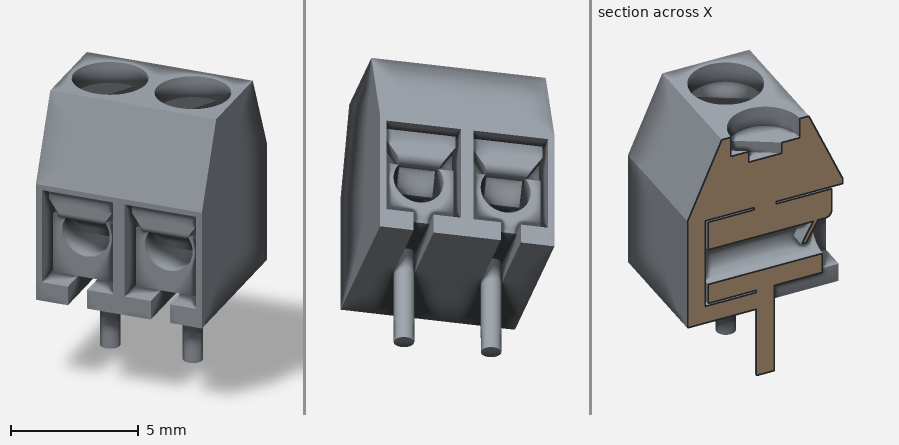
import cadquery as cq
import math


pole_count = 2
pole_pitch = 3.5
body_width = 7.0
body_depth = 6.8
wall_height = 5.0
body_height = 8.4
top_depth = 3.81
front_y = -body_depth / 2

well_diameter = 3.0
well_depth = 0.9
slot_width = 0.7
slot_depth = 0.5
slot_angle = 60

pocket_width = 3.0
pocket_height = 3.98
pocket_floor = 0.8
pocket_centre_z = pocket_floor + pocket_height / 2
pocket_top = pocket_floor + pocket_height

side_gap = 0.1
end_gap = 0.08
cage_setback = 0.9
cage_width = pocket_width - 2 * side_gap
cage_height = pocket_height - 2 * end_gap
cage_depth = body_depth - 2 * cage_setback
pocket_depth = cage_setback + cage_depth + side_gap
cage_bottom = pocket_floor + end_gap
cage_top = cage_bottom + cage_height
wire_diameter = 2.0
wire_hole_top = 3.39

plate_setback = 0.5
taper_top = 4.22
plate_bottom_width = 1.63
plate_round = 0.3
relief_step = 0.2
tongue_width = 1.43
tongue_bottom = 2.48
tongue_slope = 29
tongue_thickness = 0.23

shank_diameter = 1.0
pin_diameter = 0.8
pin_length = 3.1


def make_housing():
    half_depth = body_depth / 2
    half_top = top_depth / 2
    profile = [
        (-half_depth, 0),
        (half_depth, 0),
        (half_depth, wall_height),
        (half_top, body_height),
        (-half_top, body_height),
        (-half_depth, wall_height),
    ]
    return cq.Workplane("YZ").polyline(profile).close().extrude(body_width / 2, both=True)


def box_behind_front(width, depth, height, setback, bottom):
    """Box centred on X whose front lies a given setback behind the housing front."""
    box = cq.Workplane("XY").box(width, depth, height, centered=(True, False, False))
    return box.translate((0, front_y + setback, bottom))


def make_screw_recess():
    """Round well over the screw head, with the driver slot in its floor."""
    head_z = body_height - well_depth
    well = cq.Workplane("XY").workplane(offset=head_z).circle(well_diameter / 2).extrude(well_depth)
    slot_bottom = head_z - slot_depth
    slot = (
        cq.Workplane("XY")
        .box(well_diameter, slot_width, slot_depth, centered=(True, True, False))
        .rotate((0, 0, 0), (0, 0, 1), slot_angle)
        .translate((0, 0, slot_bottom))
    )
    head = cq.Workplane("XY").workplane(offset=slot_bottom).circle(well_diameter / 2).extrude(slot_depth)
    return well.union(slot.intersect(head))


def make_pocket():
    """Wire pocket and the notch through its lip that leads back to the pin."""
    pocket = box_behind_front(pocket_width, pocket_depth, pocket_height, 0, pocket_floor)
    notch = box_behind_front(pin_diameter, body_depth / 2, pocket_floor, 0, 0)
    return pocket.union(notch)


def make_plate():
    """Plate in front of the cage, tapered below its full-width top, with a rounded lower front edge."""
    thickness = cage_setback + relief_step - plate_setback
    outline = [
        (-cage_width / 2, cage_top),
        (cage_width / 2, cage_top),
        (cage_width / 2, taper_top),
        (plate_bottom_width / 2, wire_hole_top),
        (-plate_bottom_width / 2, wire_hole_top),
        (-cage_width / 2, taper_top),
    ]
    plate_y = front_y + plate_setback
    tapered = cq.Workplane("XZ", origin=(0, plate_y, 0)).polyline(outline).close().extrude(-thickness)
    rounded = (
        box_behind_front(cage_width, thickness, cage_top - wire_hole_top, plate_setback, wire_hole_top)
        .faces("<Y")
        .edges("<Z")
        .fillet(plate_round)
    )
    return tapered.intersect(rounded)


def make_tongue():
    """Sloping tongue hanging from the roof of the wire hole."""
    start_y = front_y + cage_setback + relief_step
    run = (wire_hole_top - tongue_bottom) * math.tan(math.radians(tongue_slope))
    profile = [
        (start_y, wire_hole_top),
        (start_y + run, tongue_bottom),
        (start_y + run + tongue_thickness, tongue_bottom),
        (start_y + tongue_thickness, wire_hole_top),
    ]
    return cq.Workplane("YZ").polyline(profile).close().extrude(tongue_width / 2, both=True)


def make_cage():
    block = box_behind_front(cage_width, cage_depth, cage_height, cage_setback, cage_bottom)
    hole = (
        cq.Workplane("XZ", origin=(0, front_y, pocket_centre_z))
        .circle(wire_diameter / 2)
        .extrude(-body_depth)
    )
    below_roof = box_behind_front(cage_width, body_depth, wire_hole_top, 0, 0)
    relief = box_behind_front(cage_width, relief_step, cage_top - wire_hole_top, cage_setback, wire_hole_top)
    cage = block.cut(hole.intersect(below_roof)).cut(relief)
    return cage.union(make_plate()).union(make_tongue())


def make_terminal():
    """Cage with its screw shank up to the pocket roof and its pin below."""
    shank = cq.Workplane("XY").workplane(offset=cage_top).circle(shank_diameter / 2)
    shank = shank.extrude(pocket_top - cage_top)
    pin = cq.Workplane("XY").workplane(offset=-pin_length).circle(pin_diameter / 2)
    pin = pin.extrude(pin_length + cage_bottom)
    return make_cage().union(shank).union(pin)


result = make_housing()
for pole in range(pole_count):
    pole_x = (pole - (pole_count - 1) / 2) * pole_pitch
    offset = (pole_x, 0, 0)
    result = result.cut(make_screw_recess().translate(offset))
    result = result.cut(make_pocket().translate(offset))
    result = result.union(make_terminal().translate(offset))